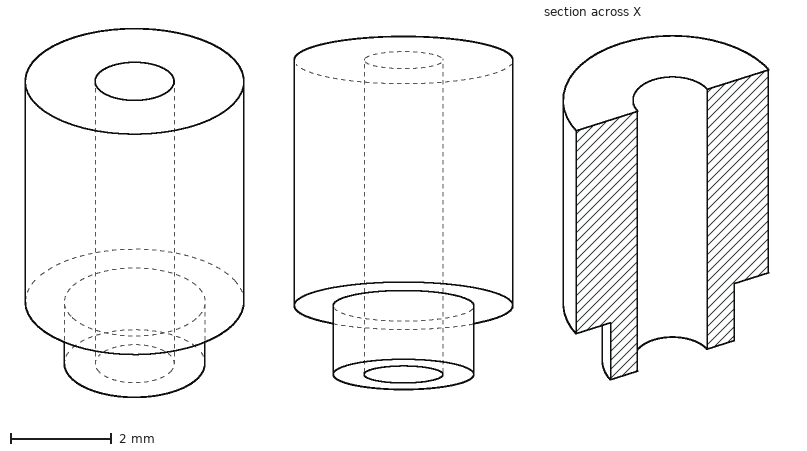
import cadquery as cq

body_diameter = 4.35
body_length = 5.0
spigot_diameter = 2.8
spigot_length = 1.4
bore_diameter = 1.57


def cylinder(diameter, bottom, top):
    """Solid cylinder on the Z axis between two heights."""
    return cq.Workplane("XY").workplane(offset=bottom).circle(diameter / 2).extrude(top - bottom)


body = cylinder(body_diameter, 0, body_length)
spigot = cylinder(spigot_diameter, -spigot_length, 0)
bore = cylinder(bore_diameter, -spigot_length, body_length)

result = body.union(spigot).cut(bore)